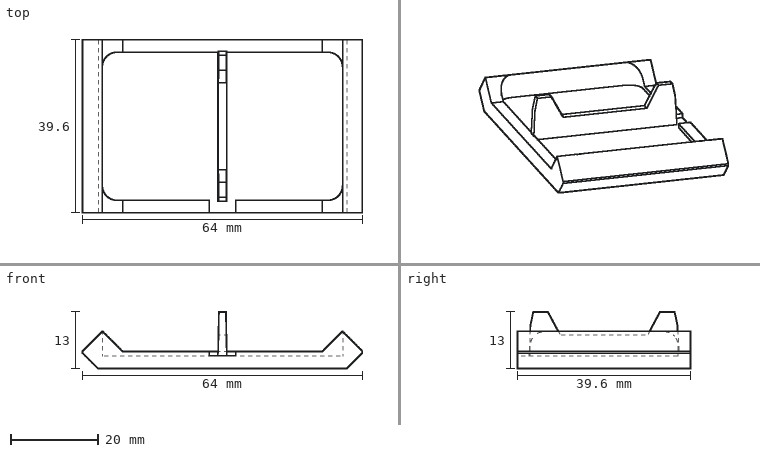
import cadquery as cq

length = 64.0
width = 39.6
rim_height = 4.0
wing_height = 8.6
edge_bottom = 3.6
edge_top = 4.0

floor_height = 3.0
pocket_width = 33.85
pocket_radius = 3.3
notch_length = 6.0

web_thickness = 2.05
web_top_thickness = 1.65
web_height = 13.0
web_half_width = 17.15
saddle_height = 7.75
saddle_half_width = 10.0
peg_shoulder_height = 9.9
peg_shoulder_half_width = 16.8
peg_outer_half_width = 16.2
peg_inner_half_width = 12.8

half_length = length / 2
ridge_x = half_length - (wing_height - edge_top)
wing_foot_x = ridge_x - (wing_height - rim_height)
bottom_x = half_length - edge_bottom


def mirrored(points):
    """Complete a symmetric outline from its right-hand half."""
    return points + [(-u, v) for u, v in reversed(points)]


def make_tray():
    outline = mirrored([
        (bottom_x, 0),
        (half_length, edge_bottom),
        (half_length, edge_top),
        (ridge_x, wing_height),
        (wing_foot_x, rim_height),
    ])
    return cq.Workplane("XZ").polyline(outline).close().extrude(width / 2, both=True)


def make_pocket():
    return (
        cq.Workplane("XY", origin=(0, 0, floor_height))
        .rect(2 * ridge_x, pocket_width)
        .extrude(wing_height)
        .edges("|Z")
        .fillet(pocket_radius)
    )


def make_notch():
    return (
        cq.Workplane("XY", origin=(0, -width / 4, floor_height))
        .rect(notch_length, width / 2)
        .extrude(wing_height)
    )


def make_web():
    side_outline = mirrored([
        (web_half_width, floor_height),
        (peg_shoulder_half_width, peg_shoulder_height),
        (peg_outer_half_width, web_height),
        (peg_inner_half_width, web_height),
        (saddle_half_width, saddle_height),
    ])
    plate = cq.Workplane("YZ").polyline(side_outline).close().extrude(web_thickness / 2, both=True)
    end_outline = mirrored([
        (web_thickness / 2, floor_height),
        (web_top_thickness / 2, web_height),
    ])
    taper = cq.Workplane("XZ").polyline(end_outline).close().extrude(web_half_width, both=True)
    return plate.intersect(taper)


result = make_tray().cut(make_pocket()).cut(make_notch()).union(make_web())